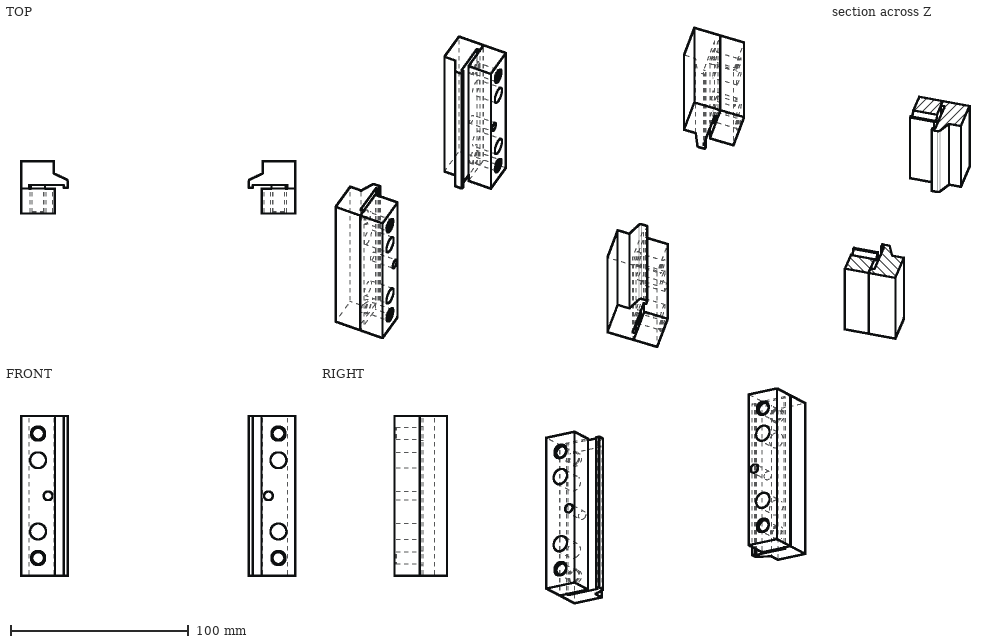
import cadquery as cq

overall_width = 154.0
overall_depth = 29.5
height = 90.0

bar_width = 19.0
bar_depth = 14.0

clamp_width = 26.2
clamp_body_width = 18.3
foot_width = 4.5
lip_width = 2.3
shoulder_drop = 7.0
slope_end_drop = 10.6
gap_depth = 2.0
lip_clearance = 0.5
nose_radius = 1.5
edge_chamfer = 0.3

hole_line = bar_width / 2
pin_spacing = 69.9
pin_tip_diameter = 6.6
pin_neck_diameter = 8.0
countersink_diameter = pin_neck_diameter
countersink_depth = (countersink_diameter - pin_tip_diameter) / 2
pin_setback = 0.5
mount_hole_spacing = 40.0
mount_hole_diameter = 9.0
dowel_hole_line = 15.1
dowel_hole_diameter = 5.0

outer_x = -overall_width / 2
front_y = -overall_depth / 2
back_y = overall_depth / 2
bar_top_y = front_y + bar_depth
gap_top_y = bar_top_y + gap_depth
pin_tip_y = front_y + countersink_depth + pin_setback
pin_heights = [-pin_spacing / 2, pin_spacing / 2]
mount_hole_heights = [-mount_hole_spacing / 2, mount_hole_spacing / 2]


def round_bar(diameter, x, z, start_y, end_y):
    """Cylinder along +Y from start_y to end_y."""
    length = end_y - start_y
    return cq.Workplane(cq.Solid.makeCylinder(
        diameter / 2, length,
        cq.Vector(x, start_y, z), cq.Vector(0, 1, 0),
    ))


def countersink(x, z):
    """45 degree cone that opens on the front face of the bar."""
    return cq.Workplane(cq.Solid.makeCone(
        countersink_diameter / 2, pin_tip_diameter / 2, countersink_depth,
        cq.Vector(x, front_y, z), cq.Vector(0, 1, 0),
    ))


def upright_edge(x, y):
    """Selector for the full-height edge that stands at x, y."""
    return cq.selectors.NearestToPointSelector((x, y, 0))


def make_bar():
    """Bar at the -X station, with its pin, mounting and dowel holes."""
    bar = cq.Workplane().box(bar_width, bar_depth, height, centered=(False, False, True))
    bar = bar.translate((outer_x, front_y, 0))
    for z in pin_heights:
        bar = bar.cut(round_bar(pin_tip_diameter, outer_x + hole_line, z, front_y, bar_top_y))
        bar = bar.cut(countersink(outer_x + hole_line, z))
    for z in mount_hole_heights:
        bar = bar.cut(round_bar(mount_hole_diameter, outer_x + hole_line, z, front_y, bar_top_y))
    return bar.cut(round_bar(dowel_hole_diameter, outer_x + dowel_hole_line, 0, front_y, bar_top_y))


def make_clamp():
    """Clamp at the -X station: one profile, extruded over the full height."""
    end_x = outer_x + clamp_width
    body_x = outer_x + clamp_body_width
    foot_x = outer_x + foot_width
    lip_x = end_x - lip_width
    lip_y = bar_top_y + lip_clearance
    slope_end_y = back_y - slope_end_drop
    clamp = (
        cq.Workplane("XY", origin=(0, 0, -height / 2))
        .moveTo(outer_x, back_y)
        .lineTo(body_x, back_y)
        .lineTo(body_x, back_y - shoulder_drop)
        .lineTo(end_x, slope_end_y)
        .lineTo(end_x, lip_y)
        .lineTo(lip_x, lip_y)
        .lineTo(lip_x, gap_top_y)
        .lineTo(foot_x, gap_top_y)
        .lineTo(foot_x, bar_top_y)
        .lineTo(outer_x, bar_top_y)
        .close()
        .extrude(height)
    )
    clamp = clamp.edges(upright_edge(end_x, slope_end_y)).fillet(nose_radius)
    for x, y in [(end_x, lip_y), (lip_x, lip_y), (outer_x, bar_top_y)]:
        clamp = clamp.edges(upright_edge(x, y)).chamfer(edge_chamfer)
    return clamp


def make_pin(z):
    """Pin at the -X station: its tip fills the bar hole, its wider neck bridges the gap to the clamp."""
    x = outer_x + hole_line
    tip = round_bar(pin_tip_diameter, x, z, pin_tip_y, bar_top_y)
    neck = round_bar(pin_neck_diameter, x, z, bar_top_y, gap_top_y)
    return tip.union(neck)


bodies = []
for left_body in [make_bar(), make_clamp(), *[make_pin(z) for z in pin_heights]]:
    bodies.append(left_body.val())
    bodies.append(left_body.mirror("YZ").val())

result = cq.Compound.makeCompound(bodies)